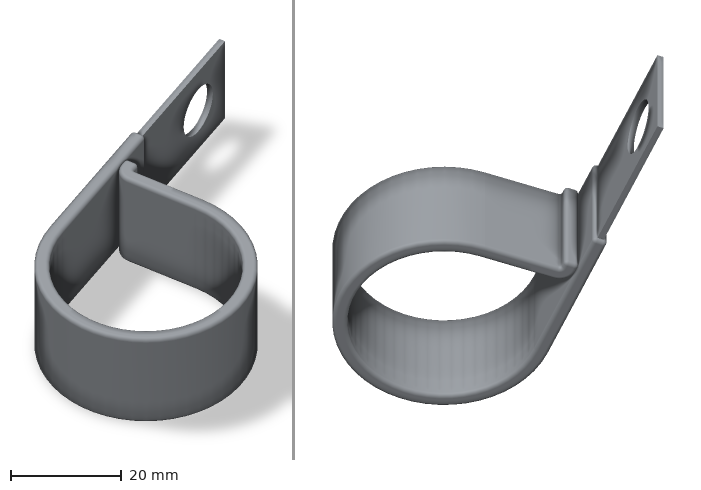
import cadquery as cq
import math


ring_outer_radius = 20.23
strap_thickness = 1.22
strap_width = 19.05
cushion_thickness = 0.76
tab_end_y = 58.73
sleeve_end_y = 29.3
hole_diameter = 10.32
hole_end_distance = 9.5
bend_inner_radius = 0.5
free_end_length = 1.52
free_end_gap = 0.02
tab_overlap = 2.0

sleeve_thickness = strap_thickness + 2 * cushion_thickness
sleeve_width = strap_width + 2 * cushion_thickness
ring_inner_radius = ring_outer_radius - sleeve_thickness
bend_outer_radius = bend_inner_radius + sleeve_thickness
lip_near_x = -ring_inner_radius + free_end_gap
lip_far_x = lip_near_x + sleeve_thickness
bend_centre = (lip_near_x + bend_outer_radius, ring_outer_radius + bend_inner_radius)
lip_end_y = bend_centre[1] + free_end_length
lip_end_middle = ((lip_near_x + lip_far_x) / 2, lip_end_y, 0)


def bend_arc_middle(radius):
    """Midpoint of the quarter bend, on its lower-left diagonal."""
    offset = radius * math.cos(math.radians(45))
    return (bend_centre[0] - offset, bend_centre[1] - offset)


def make_sleeve():
    """Cushioned band: straight leg, three-quarter ring, straight top and bent lip."""
    outline = (
        cq.Workplane("XY", origin=(0, 0, -sleeve_width / 2))
        .moveTo(-ring_outer_radius, sleeve_end_y)
        .lineTo(-ring_outer_radius, 0)
        .threePointArc((0, -ring_outer_radius), (ring_outer_radius, 0))
        .radiusArc((0, ring_outer_radius), -ring_outer_radius)
        .lineTo(bend_centre[0], ring_outer_radius)
        .threePointArc(bend_arc_middle(bend_inner_radius), (lip_far_x, bend_centre[1]))
        .lineTo(lip_far_x, lip_end_y)
        .lineTo(lip_near_x, lip_end_y)
        .lineTo(lip_near_x, bend_centre[1])
        .threePointArc(bend_arc_middle(bend_outer_radius), (bend_centre[0], ring_inner_radius))
        .lineTo(0, ring_inner_radius)
        .radiusArc((ring_inner_radius, 0), ring_inner_radius)
        .threePointArc((0, -ring_inner_radius), (-ring_inner_radius, 0))
        .lineTo(-ring_inner_radius, sleeve_end_y)
        .close()
    )
    band = outline.extrude(sleeve_width)
    rims = band.faces(">Z or <Z").edges()
    sleeve_end_corners = band.faces(">Y").edges("|Z")
    lip_end_corners = band.faces(cq.selectors.NearestToPointSelector(lip_end_middle)).edges("|Z")
    return rims.add(sleeve_end_corners).add(lip_end_corners).fillet(cushion_thickness)


def make_tab():
    """Bare strap end with its mounting hole, started inside the sleeve."""
    start_y = sleeve_end_y - tab_overlap
    tab = (
        cq.Workplane("XY", origin=(-ring_outer_radius + cushion_thickness, start_y, 0))
        .box(strap_thickness, tab_end_y - start_y, strap_width, centered=(False, False, True))
    )
    hole = (
        cq.Workplane("YZ", origin=(-ring_outer_radius, 0, 0))
        .center(tab_end_y - hole_end_distance, 0)
        .circle(hole_diameter / 2)
        .extrude(sleeve_thickness)
    )
    return tab.cut(hole)


result = make_sleeve().union(make_tab())